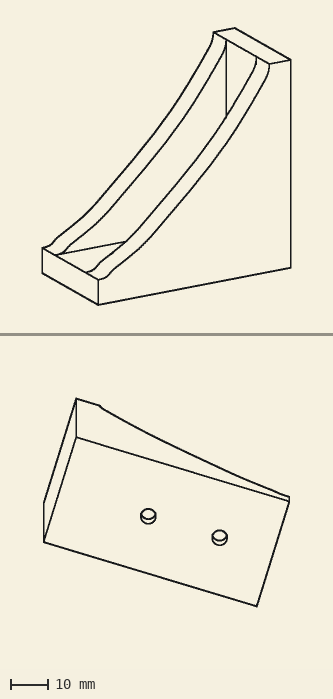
import cadquery as cq

width = 30.0
depth = 60.0
height = 59.3

base_thickness = 7.2
back_thickness = 6.7
rib_thickness = 6.9

rib_curve_places = [
    (2.05, 46.75),
    (11.6, 33.95),
    (20.8, 24.05),
    (32.65, 13.15),
    (42.95, 5.15),
    (49.4, 1.45),
]

hole_diameter = 4.0
first_hole_from_front = 15.05
hole_spacing = 20.05
hole_count = 2

back_face_y = depth - back_thickness


def make_plates():
    """L-shaped body made of the base and the upright back plate."""
    base = cq.Workplane("XY").box(width, depth, base_thickness, centered=False)
    back = (
        cq.Workplane("XY")
        .box(width, back_thickness, height, centered=False)
        .translate((0, back_face_y, 0))
    )
    return base.union(back)


def make_rib(left_x):
    """Concave side rib, upright at the back plate and level at the front edge."""
    curve_points = [
        (back_face_y - distance, base_thickness + rise)
        for distance, rise in rib_curve_places
    ]
    curve_points.append((0, base_thickness))
    return (
        cq.Workplane("YZ", origin=(left_x, 0, 0))
        .moveTo(back_face_y, base_thickness)
        .lineTo(back_face_y, height)
        .spline(curve_points, tangents=[(0, -1), (-1, 0)], includeCurrent=True)
        .close()
        .extrude(rib_thickness)
    )


def make_holes():
    """Through-hole cutters for the base."""
    centres = [
        (width / 2, first_hole_from_front + index * hole_spacing)
        for index in range(hole_count)
    ]
    return (
        cq.Workplane("XY")
        .pushPoints(centres)
        .circle(hole_diameter / 2)
        .extrude(base_thickness)
    )


body = make_plates()
for rib_left_x in (0, width - rib_thickness):
    body = body.union(make_rib(rib_left_x))

result = body.cut(make_holes())